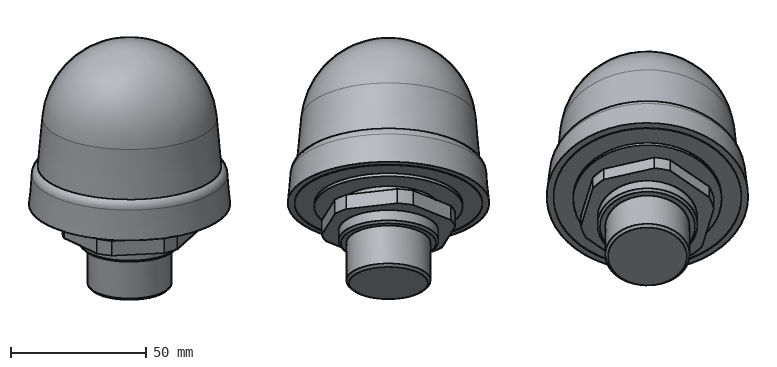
import cadquery as cq
import math

total_height = 96.5
draft = math.radians(5.0)

tube_radius = 15.6
tube_chamfer = 1.0

collar_radius = 18.5
collar_bottom = 16.3
collar_chamfer = 0.9

nut_sides = 6
nut_across_flats = 46.0
nut_corner_radius = 25.0
nut_bottom = 21.3
nut_thickness = 5.8

gasket_radius = 27.5
gasket_bottom = 31.0

flange_bottom = 32.5
flange_step_radius = 34.8
flange_step_height = 0.25
flange_radius = 37.35
flange_shoulder = 44.3
lens_foot = 47.5

dome_radius = 32.5
dome_center = total_height - dome_radius
dome_seam = dome_center + dome_radius * math.sin(draft)
dome_seam_radius = dome_radius * math.cos(draft)
lens_foot_radius = dome_seam_radius + (dome_seam - lens_foot) * math.tan(draft)

flange_shoulder_radius = flange_radius - (flange_shoulder - flange_bottom) * math.tan(draft)


def chamfered_cylinder(radius, bottom, top, chamfer):
    """Upright cylinder with its lower edge chamfered."""
    cylinder = cq.Workplane("XY").workplane(offset=bottom).circle(radius).extrude(top - bottom)
    return cylinder.faces("<Z").edges().chamfer(chamfer)


def make_spigot():
    """Tube with a wider collar, both reaching up to the gasket."""
    tube = chamfered_cylinder(tube_radius, 0, gasket_bottom, tube_chamfer)
    collar = chamfered_cylinder(collar_radius, collar_bottom, gasket_bottom, collar_chamfer)
    return tube.union(collar)


def make_nut():
    """Hexagon with two corners on the X axis, its corners turned to a cylinder."""
    base = cq.Workplane("XY").workplane(offset=nut_bottom)
    corner_diameter = nut_across_flats / math.cos(math.pi / nut_sides)
    hexagon = base.polygon(nut_sides, corner_diameter).extrude(nut_thickness)
    return hexagon.intersect(base.circle(nut_corner_radius).extrude(nut_thickness))


def make_head():
    """Gasket, flange and lens turned about Z from one half profile."""
    step_bottom = flange_bottom - flange_step_height
    dome_mid_angle = (math.pi / 2 + draft) / 2
    profile = (
        cq.Workplane("XZ")
        .moveTo(0, gasket_bottom)
        .lineTo(gasket_radius, gasket_bottom)
        .lineTo(gasket_radius, step_bottom)
        .lineTo(flange_step_radius, step_bottom)
        .lineTo(flange_step_radius, flange_bottom)
        .lineTo(flange_radius, flange_bottom)
        .lineTo(flange_shoulder_radius, flange_shoulder)
        .tangentArcPoint((lens_foot_radius, lens_foot), relative=False)
        .lineTo(dome_seam_radius, dome_seam)
        .threePointArc(
            (
                dome_radius * math.cos(dome_mid_angle),
                dome_center + dome_radius * math.sin(dome_mid_angle),
            ),
            (0, total_height),
        )
        .close()
    )
    return profile.revolve(360, (0, 0, 0), (0, 1, 0))


result = make_head().union(make_spigot()).union(make_nut())